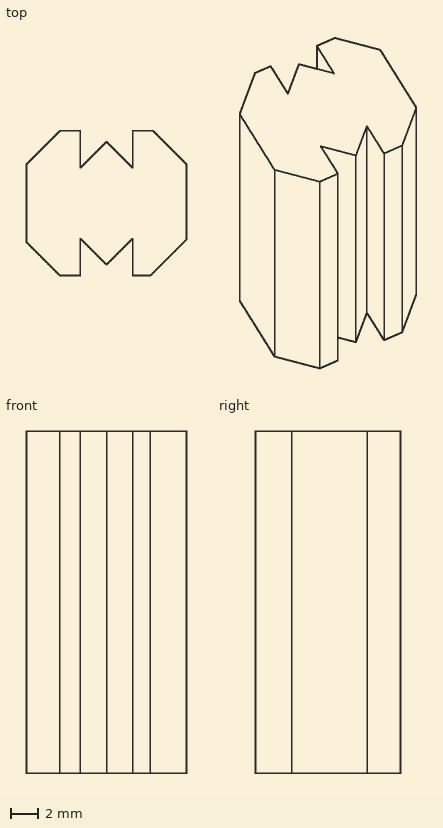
import cadquery as cq

width = 11.7
depth = 10.6
height = 25

chamfer_front_left = 2.45
chamfer_front_right = 2.65
chamfer_back_right = 2.45
chamfer_back_left = 2.45

groove_width = 3.8
groove_depth = 2.7
ridge_height = groove_width / 2

half_width = width / 2
half_depth = depth / 2
half_groove = groove_width / 2
groove_floor = half_depth - groove_depth
ridge_tip = groove_floor + ridge_height

profile = [
    (-half_width + chamfer_front_left, -half_depth),
    (-half_groove, -half_depth),
    (-half_groove, -groove_floor),
    (0, -ridge_tip),
    (half_groove, -groove_floor),
    (half_groove, -half_depth),
    (half_width - chamfer_front_right, -half_depth),
    (half_width, -half_depth + chamfer_front_right),
    (half_width, half_depth - chamfer_back_right),
    (half_width - chamfer_back_right, half_depth),
    (half_groove, half_depth),
    (half_groove, groove_floor),
    (0, ridge_tip),
    (-half_groove, groove_floor),
    (-half_groove, half_depth),
    (-half_width + chamfer_back_left, half_depth),
    (-half_width, half_depth - chamfer_back_left),
    (-half_width, -half_depth + chamfer_front_left),
]

result = cq.Workplane("XY").polyline(profile).close().extrude(height)